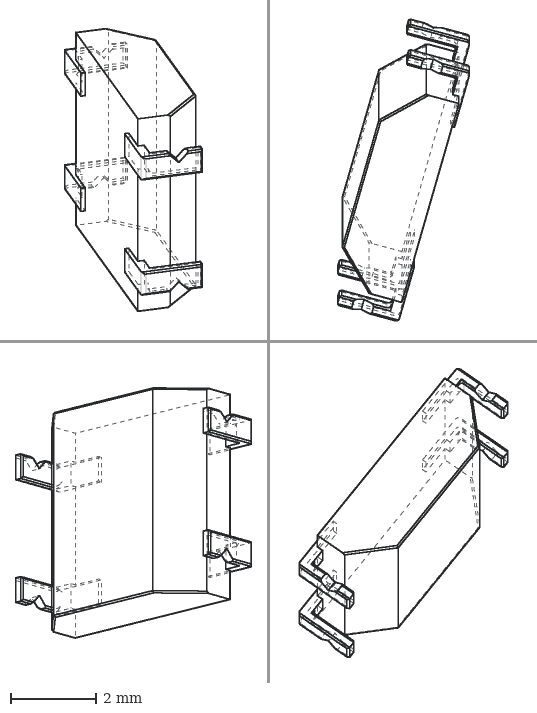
import cadquery as cq

overall_width = 6.3
overall_height = 1.8
body_side = 5.0

standoff = 0.1
body_slope = 0.9
body_edge_chamfer = 0.045

lead_thickness = 0.25
lead_width = 0.6
lead_height = 1.5
foot_length = 1.4
lead_pitch = 2.99
bend_outer_radius = 0.1
bend_inner_radius = 0.1
lead_edge_chamfer = 0.045

notch_depth = 0.245
notch_height = 0.91

half_width = overall_width / 2
half_body = body_side / 2
half_pitch = lead_pitch / 2


def make_body():
    """Square package with two sloped sides and bevelled edges around its Z ends."""
    shoulder = overall_height - body_slope
    prism = (
        cq.Workplane("XY")
        .workplane(offset=-half_body)
        .moveTo(-half_body, standoff)
        .lineTo(half_body, standoff)
        .lineTo(half_body, shoulder)
        .lineTo(half_body - body_slope, overall_height)
        .lineTo(-half_body + body_slope, overall_height)
        .lineTo(-half_body, shoulder)
        .close()
        .extrude(body_side)
    )
    above_shoulder = cq.selectors.BoxSelector(
        (-half_body, shoulder, -body_side),
        (half_body, 2 * overall_height, body_side),
    )
    end_edges = prism.faces("<Z or >Z").edges(above_shoulder)
    return prism.newObject(end_edges.vals()).chamfer(body_edge_chamfer)


def make_upright():
    """Upright leg of the lead, bevelled along both sides and across its tip."""
    return (
        cq.Workplane("XY")
        .box(lead_thickness, lead_height, lead_width, centered=(False, False, True))
        .edges("|Y or (>Y and |Z)")
        .chamfer(lead_edge_chamfer)
        .translate((-half_width, 0, 0))
    )


def make_foot():
    """Flat foot that starts inside the upright and runs under the body."""
    start = lead_edge_chamfer
    return (
        cq.Workplane("XY")
        .box(foot_length - start, lead_thickness, lead_width, centered=(False, False, True))
        .translate((start - half_width, 0, 0))
    )


def make_inner_bend():
    """Concave fillet between the upright and the foot."""
    bevel = lead_edge_chamfer
    corner_x = lead_thickness - half_width
    wedge = (
        cq.Workplane("XY")
        .workplane(offset=-lead_width / 2)
        .moveTo(corner_x - bevel, lead_thickness)
        .lineTo(corner_x + bend_inner_radius, lead_thickness)
        .radiusArc((corner_x, lead_thickness + bend_inner_radius), bend_inner_radius)
        .lineTo(corner_x - bevel, lead_thickness + bend_inner_radius)
        .close()
        .extrude(lead_width)
    )
    reach = bevel + bend_inner_radius
    half_lead = lead_width / 2
    bevelled_section = (
        cq.Workplane("XZ", origin=(0, lead_thickness, 0))
        .moveTo(corner_x - bevel, -half_lead)
        .lineTo(corner_x + bend_inner_radius, -half_lead + reach)
        .lineTo(corner_x + bend_inner_radius, half_lead - reach)
        .lineTo(corner_x - bevel, half_lead)
        .close()
        .extrude(-bend_inner_radius)
    )
    return wedge.intersect(bevelled_section)


def make_outer_bend_cutter():
    """Sliver outside the rounded outer corner of the bend."""
    return (
        cq.Workplane("XY")
        .workplane(offset=-lead_width)
        .moveTo(-half_width, 0)
        .lineTo(bend_outer_radius - half_width, 0)
        .radiusArc((-half_width, bend_outer_radius), bend_outer_radius)
        .close()
        .extrude(2 * lead_width)
    )


def make_notch_cutter():
    """45 degree V through the upright, open toward +Z."""
    edge_z = lead_width / 2
    return (
        cq.Workplane("YZ", origin=(-half_width, 0, 0))
        .moveTo(notch_height, edge_z - notch_depth)
        .lineTo(notch_height + notch_depth, edge_z)
        .lineTo(notch_height - notch_depth, edge_z)
        .close()
        .extrude(lead_thickness)
    )


def make_lead():
    """Complete lead at the -X, +Z corner of the package."""
    lead = make_upright().union(make_foot()).union(make_inner_bend())
    lead = lead.cut(make_outer_bend_cutter()).cut(make_notch_cutter())
    return lead.translate((0, 0, half_pitch))


upper_left = make_lead()
upper_right = upper_left.mirror("YZ")

result = make_body()
for upper_lead in (upper_left, upper_right):
    lower_lead = upper_lead.mirror("XY")
    result = result.union(upper_lead).union(lower_lead)